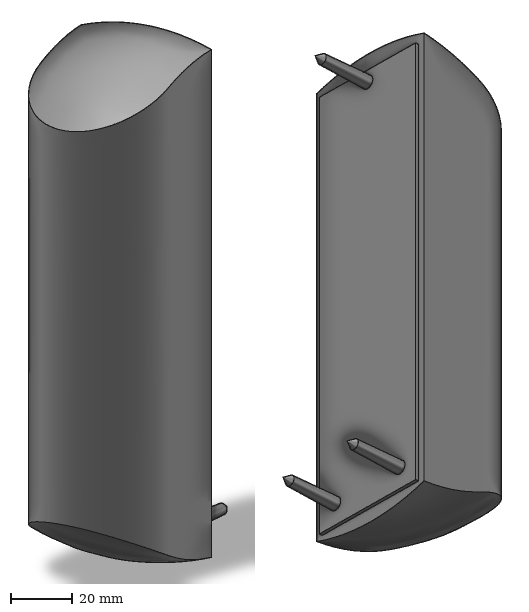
import cadquery as cq
import math

height = 181.2
back_width = 51.0
nose_radius = 25.0
depth = 49.5
nose_center_y = nose_radius - depth

dome_radius = 81.5
dome_center_y = 8.2
dome_center_z = height / 2 - math.sqrt(dome_radius**2 - dome_center_y**2)

plate_width = 45.7
plate_thickness = 1.3
plate_top = 83.3
plate_bottom = -85.3

screw_reach = 24.8
screw_tip_length = 3.0
screw_root_radius = 2.5
screw_shoulder_radius = 2.0
screw_spacing = 15.2
top_screw_z = 78.6
bottom_screw_z = -77.2

lens_back_y = -12.3
lens_corner_radius = 7.6
lens_top_side = 63.6
lens_top_front = 64.1
lens_bottom_side = 26.8
lens_bottom_front = 26.0


def dome_ball(center_z):
    return cq.Workplane("XY").sphere(dome_radius).translate((0, dome_center_y, center_z))


def make_housing():
    column = (
        cq.Workplane("XY")
        .workplane(offset=-height / 2)
        .moveTo(-back_width / 2, 0)
        .lineTo(-nose_radius, nose_center_y)
        .threePointArc((0, -depth), (nose_radius, nose_center_y))
        .lineTo(back_width / 2, 0)
        .close()
        .extrude(height)
    )
    half_box = cq.Workplane("XY").box(back_width, 2 * depth, height / 2, centered=(True, True, False))
    upper_half = column.intersect(half_box).intersect(dome_ball(dome_center_z))
    return upper_half.union(upper_half.mirror("XY"))


def make_lens_block():
    return (
        cq.Workplane("YZ")
        .moveTo(-depth, lens_top_front)
        .lineTo(lens_back_y, lens_top_side)
        .lineTo(lens_back_y, lens_bottom_side)
        .lineTo(-depth, lens_bottom_front)
        .close()
        .extrude(back_width / 2, both=True)
        .edges("|X and >Y")
        .fillet(lens_corner_radius)
    )


def make_plate():
    plate_height = plate_top - plate_bottom
    return (
        cq.Workplane("XY")
        .box(plate_width, plate_thickness, plate_height, centered=(True, False, False))
        .translate((0, 0, plate_bottom))
    )


def make_screw(x, z):
    return (
        cq.Workplane("XY")
        .lineTo(screw_root_radius, 0)
        .lineTo(screw_shoulder_radius, screw_reach - screw_tip_length)
        .lineTo(0, screw_reach)
        .close()
        .revolve(360, (0, 0, 0), (0, 1, 0))
        .translate((x, 0, z))
    )


housing = make_housing()
body = housing.union(make_plate())
body = body.union(make_screw(0, top_screw_z))
for side in (-1, 1):
    body = body.union(make_screw(side * screw_spacing, bottom_screw_z))

lens_block = make_lens_block()
lens = housing.intersect(lens_block)
result = body.cut(lens_block).union(lens, clean=False)